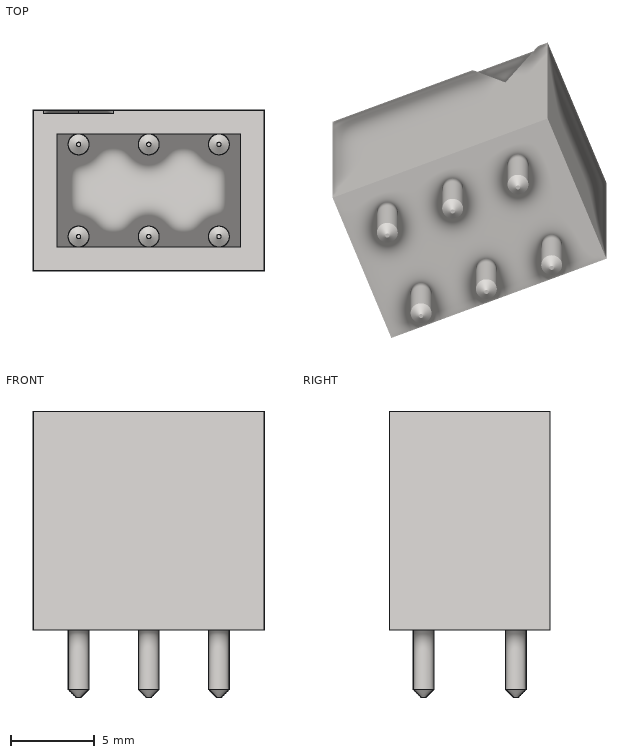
import cadquery as cq

housing_length = 13.8
housing_width = 9.6
housing_height = 13.06
floor_thickness = 1.4

pin_diameter = 1.25
pin_columns = 3
pin_rows = 2
column_pitch = 4.19
row_pitch = 5.5
pin_length = 17.1
pin_top = housing_height
pin_bottom = pin_top - pin_length
point_length = 0.5
point_tip_diameter = 0.25

cavity_length = 10.95
cavity_width = row_pitch + pin_diameter

mark_width = column_pitch
mark_height = mark_width
mark_depth = 0.2

pin_positions = [
    (
        (column - (pin_columns - 1) / 2) * column_pitch,
        (row - (pin_rows - 1) / 2) * row_pitch,
    )
    for row in range(pin_rows)
    for column in range(pin_columns)
]


def make_pin(x, y):
    """Round pin with a blunt cone at each end."""
    radius = pin_diameter / 2
    tip_radius = point_tip_diameter / 2
    half_profile = (
        cq.Workplane("XZ")
        .moveTo(0, pin_bottom)
        .lineTo(tip_radius, pin_bottom)
        .lineTo(radius, pin_bottom + point_length)
        .lineTo(radius, pin_top - point_length)
        .lineTo(tip_radius, pin_top)
        .lineTo(0, pin_top)
        .close()
    )
    return half_profile.revolve(360, (0, 0, 0), (0, 1, 0)).translate((x, y, 0))


def make_mark_cutter():
    """Downward-pointing triangular prism on the +Y face, open at the rim."""
    mark_x = pin_positions[0][0]
    return (
        cq.Workplane("XZ", origin=(mark_x, housing_width / 2, housing_height))
        .moveTo(-mark_width / 2, 0)
        .lineTo(mark_width / 2, 0)
        .lineTo(0, -mark_height)
        .close()
        .extrude(mark_depth)
    )


def make_housing():
    """Box with a rectangular cavity, pin holes through its floor and the first-pin mark."""
    box = cq.Workplane("XY").box(
        housing_length, housing_width, housing_height, centered=(True, True, False)
    )
    cavity = (
        cq.Workplane("XY", origin=(0, 0, floor_thickness))
        .rect(cavity_length, cavity_width)
        .extrude(housing_height - floor_thickness)
    )
    pin_holes = (
        cq.Workplane("XY")
        .pushPoints(pin_positions)
        .circle(pin_diameter / 2)
        .extrude(floor_thickness)
    )
    return box.cut(cavity).cut(pin_holes).cut(make_mark_cutter())


housing = make_housing()
pins = [make_pin(x, y) for x, y in pin_positions]

result = cq.Compound.makeCompound([housing.val(), *[pin.val() for pin in pins]])